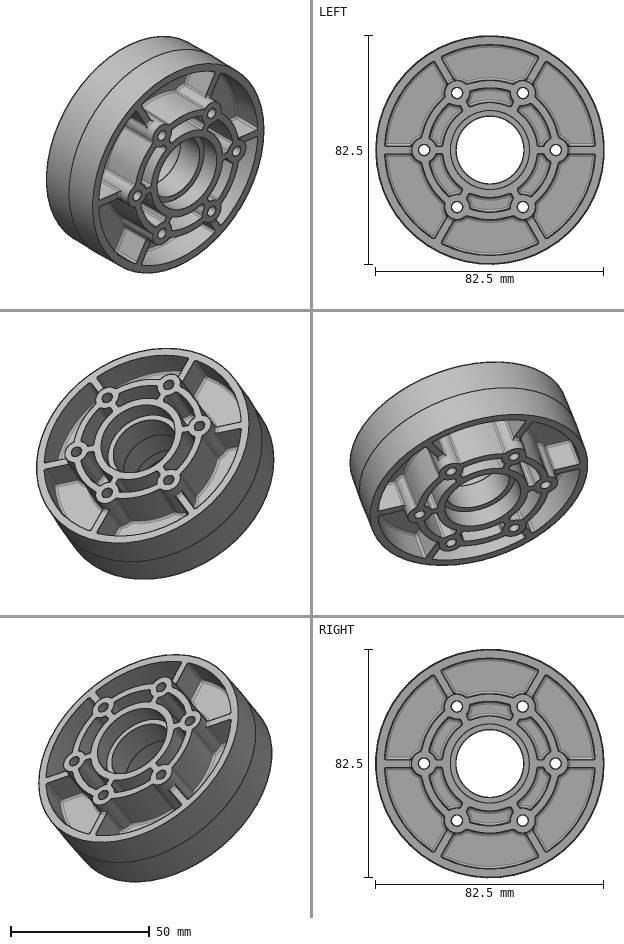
import cadquery as cq
import math

OUTER_DIAMETER = 82.55
HUB_WIDTH = 34.9
RIM_WIDTH = 25.4
WEB_THICKNESS = 3.1

RIM_INNER_RADIUS = 37.9
HUB_OUTER_RADIUS = 25.4
HUB_POCKET_OUTER_RADIUS = 22.2
HUB_POCKET_INNER_RADIUS = 17.4
BOSS_RADIUS = 4.8
RIB_THICKNESS = 3.1

BORE_DIAMETER = 24.4
BEARING_DIAMETER = 28.6
BEARING_DEPTH = 7.0
BOLT_DIAMETER = 4.0
BOLT_CIRCLE_RADIUS = 23.8
BOLT_COUNT = 6

DRAFT_ANGLE = 1.0
FILLET_RADIUS = 0.76

HUB_HEIGHT = HUB_WIDTH / 2
RIM_HEIGHT = RIM_WIDTH / 2
FLOOR_HEIGHT = WEB_THICKNESS / 2

OUTER_RADIUS = OUTER_DIAMETER / 2
RIM_MIDDLE_RADIUS = (RIM_INNER_RADIUS + OUTER_RADIUS) / 2
HUB_RING_MIDDLE_RADIUS = (BEARING_DIAMETER / 2 + HUB_POCKET_INNER_RADIUS) / 2

BOLT_ANGLES = [i * 360 / BOLT_COUNT for i in range(BOLT_COUNT)]

TOLERANCE = 0.01



def narrowing_disc(radius, height):
    """Disc on the mating plane that the draft narrows toward its top."""
    return cq.Workplane("XY").circle(radius).extrude(height, taper=DRAFT_ANGLE)


def widening_disc(radius, height):
    """Disc on the mating plane that the draft widens toward its top, for cutting pockets."""
    return cq.Workplane("XY").circle(radius).extrude(height, taper=-DRAFT_ANGLE)


def drafted_ring(outer_radius, inner_radius, height):
    """Ring whose wall gets thinner toward its top."""
    return narrowing_disc(outer_radius, height).cut(widening_disc(inner_radius, height))


def drafted_rib(start_radius, end_radius, height):
    """Radial rib along +X whose two sides lean in with the draft."""
    half_base = RIB_THICKNESS / 2
    half_top = half_base - height * math.tan(math.radians(DRAFT_ANGLE))
    section = [(-half_base, 0), (half_base, 0), (half_top, height), (-half_top, height)]
    return (
        cq.Workplane("YZ", origin=(start_radius, 0, 0))
        .polyline(section)
        .close()
        .extrude(end_radius - start_radius)
    )


def spoke(angle):
    """Bolt boss with a tall rib in to the hub ring and a low rib out to the rim."""
    boss = narrowing_disc(BOSS_RADIUS, HUB_HEIGHT).translate((BOLT_CIRCLE_RADIUS, 0, 0))
    inner_rib = drafted_rib(HUB_RING_MIDDLE_RADIUS, BOLT_CIRCLE_RADIUS, HUB_HEIGHT)
    outer_rib = drafted_rib(BOLT_CIRCLE_RADIUS, RIM_MIDDLE_RADIUS, RIM_HEIGHT)
    return boss.union(inner_rib).union(outer_rib).rotate((0, 0, 0), (0, 0, 1), angle)


def sharp_blank():
    """Rim, web, hub rings and spokes, with sharp corners and no bores."""
    blank = drafted_ring(OUTER_RADIUS, RIM_INNER_RADIUS, RIM_HEIGHT)
    blank = blank.union(cq.Workplane("XY").circle(RIM_MIDDLE_RADIUS).extrude(FLOOR_HEIGHT))
    blank = blank.union(drafted_ring(HUB_OUTER_RADIUS, HUB_POCKET_OUTER_RADIUS, HUB_HEIGHT))
    blank = blank.union(narrowing_disc(HUB_POCKET_INNER_RADIUS, HUB_HEIGHT))
    for angle in BOLT_ANGLES:
        blank = blank.union(spoke(angle))
    return blank


def is_inside_corner(edge):
    """True for upright pocket corners, pocket floor edges and the ends of rib tops at a boss."""
    center = edge.Center()
    radius = math.hypot(center.x, center.y)
    is_level = edge.BoundingBox().zlen < TOLERANCE
    if not is_level:
        return radius < RIM_MIDDLE_RADIUS
    if abs(center.z - FLOOR_HEIGHT) < TOLERANCE:
        return True
    boss_reach = BOLT_CIRCLE_RADIUS + BOSS_RADIUS
    is_at_boss = abs(radius - boss_reach) < FILLET_RADIUS
    return is_at_boss and abs(center.z - RIM_HEIGHT) < TOLERANCE


def round_inside_corners(blank):
    """Fillet every inside corner of the pockets with the same radius."""
    corners = [edge for edge in blank.edges().vals() if is_inside_corner(edge)]
    return blank.newObject(corners).fillet(FILLET_RADIUS)


def cut_bores(blank):
    """Cut the centre bore with its bearing seat, and the bolt holes."""
    bore = cq.Workplane("XY").circle(BORE_DIAMETER / 2).extrude(HUB_HEIGHT)
    bearing_seat = (
        cq.Workplane("XY", origin=(0, 0, HUB_HEIGHT - BEARING_DEPTH))
        .circle(BEARING_DIAMETER / 2)
        .extrude(BEARING_DEPTH)
    )
    bolt_holes = (
        cq.Workplane("XY")
        .polarArray(BOLT_CIRCLE_RADIUS, 0, 360, BOLT_COUNT)
        .circle(BOLT_DIAMETER / 2)
        .extrude(HUB_HEIGHT)
    )
    return blank.cut(bore).cut(bearing_seat).cut(bolt_holes)


def hub_half():
    """One complete half of the hub."""
    return cut_bores(round_inside_corners(sharp_blank()))


half = hub_half().rotate((0, 0, 0), (0, 0, 1), 90)
hub_halves = []
for turn in (-90, 90):
    placed_half = half.rotate((0, 0, 0), (0, 1, 0), turn)
    hub_halves.append(placed_half.solids().val())

result = cq.Compound.makeCompound(hub_halves)